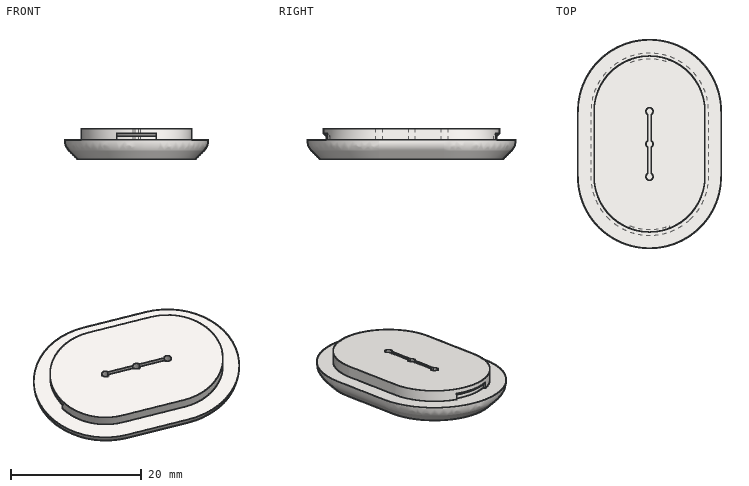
import cadquery as cq

base_width = 22.0
base_length = 32.0
base_height = 3.0

bevel_size = 2.0
bevel_blend_radius = 2.0

rim_width = 2.5
plate_width = base_width - 2 * rim_width
plate_length = base_length - 2 * rim_width
plate_height = 1.75
total_height = base_height + plate_height

notch_width = 6.1
notch_depth = 0.4
notch_height = 1.0
notch_slope_angle = 45

pocket_diameter = 1.1
pocket_spacing = 5.0
pocket_count = 3
slot_width = 0.5
slot_length = (pocket_count - 1) * pocket_spacing
groove_depth = plate_height


def stadium(width, length, bottom, height, taper=0):
    """Upright solid with parallel sides along Y and half-round ends."""
    return (
        cq.Workplane("XY", origin=(0, 0, bottom))
        .slot2D(length, width, 90)
        .extrude(height, taper=taper)
    )


def make_base():
    """Base with its bottom edge bevelled and the bevel rolled into the side."""
    bevelled = (
        stadium(base_width, base_length, 0, base_height)
        .faces("<Z")
        .edges()
        .chamfer(bevel_size)
    )
    tolerance = 0.1
    bevel_corner = cq.selectors.BoxSelector(
        (-base_width, -base_length, bevel_size - tolerance),
        (base_width, base_length, bevel_size + tolerance),
        boundingbox=True,
    )
    return bevelled.edges(bevel_corner).fillet(bevel_blend_radius)


def make_notches():
    """Cutters for both end notches, with a 45 degree slope for a ceiling."""
    straight_height = notch_height - notch_depth
    core_width = plate_width - 2 * notch_depth
    core_length = plate_length - 2 * notch_depth
    straight_core = stadium(core_width, core_length, base_height, straight_height)
    flared_core = stadium(
        core_width, core_length, base_height + straight_height, notch_depth, taper=-notch_slope_angle
    )
    strip = cq.Workplane("XY", origin=(0, 0, base_height)).box(
        notch_width, base_length, notch_height, centered=(True, True, False)
    )
    return strip.cut(straight_core).cut(flared_core)


def make_groove():
    """Cutter for the three pockets and the slot that joins them."""
    floor = cq.Workplane("XY", origin=(0, 0, total_height - groove_depth))
    pockets = (
        floor.rarray(1, pocket_spacing, 1, pocket_count)
        .circle(pocket_diameter / 2)
        .extrude(groove_depth)
    )
    slot = floor.rect(slot_width, slot_length).extrude(groove_depth)
    return pockets.union(slot)


plate = stadium(plate_width, plate_length, base_height, plate_height)
result = make_base().union(plate).cut(make_notches()).cut(make_groove())